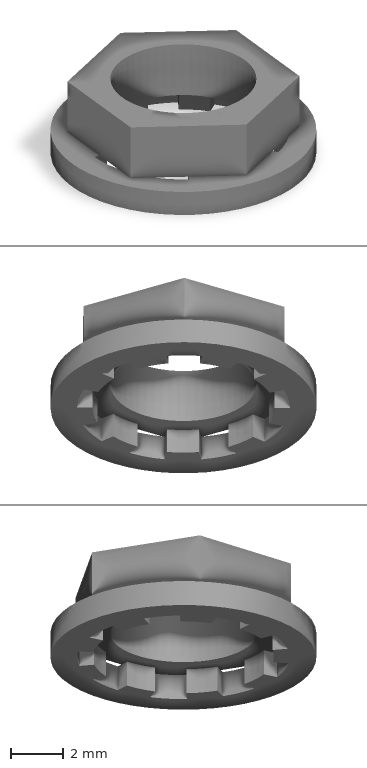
import cadquery as cq
import math

washer_diameter = 10.2
washer_thickness = 1.0
tooth_tip_diameter = 7.0
tooth_root_diameter = 8.16
tooth_count = 9
tooth_pitch_angle = 360.0 / tooth_count
gap_angle = tooth_pitch_angle / 2

total_height = 3.2
nut_height = total_height - washer_thickness
nut_across_flats = 7.71
nut_across_corners = nut_across_flats / math.cos(math.radians(30))
nut_bore_diameter = 5.6


def polar_point(radius, angle):
    """Point in the XY plane at an angle in degrees from +X."""
    return (
        radius * math.cos(math.radians(angle)),
        radius * math.sin(math.radians(angle)),
    )


def make_tooth_gap(center_angle):
    """Sector cutter that clears one gap from the tooth tips out to the root circle."""
    root_radius = tooth_root_diameter / 2
    start_angle = center_angle - gap_angle / 2
    end_angle = center_angle + gap_angle / 2
    return (
        cq.Workplane("XY")
        .lineTo(*polar_point(root_radius, start_angle))
        .threePointArc(polar_point(root_radius, center_angle), polar_point(root_radius, end_angle))
        .close()
        .extrude(washer_thickness)
    )


def make_washer():
    """Flat ring with square-sided internal teeth; one gap is centered on +X."""
    washer = (
        cq.Workplane("XY")
        .circle(washer_diameter / 2)
        .circle(tooth_tip_diameter / 2)
        .extrude(washer_thickness)
    )
    for index in range(tooth_count):
        washer = washer.cut(make_tooth_gap(index * tooth_pitch_angle))
    return washer


def make_nut():
    """Hexagonal nut with corners on the X axis and a plain through bore."""
    return (
        cq.Workplane("XY")
        .workplane(offset=washer_thickness)
        .polygon(6, nut_across_corners)
        .circle(nut_bore_diameter / 2)
        .extrude(nut_height)
    )


washer = make_washer()
nut = make_nut()

result = cq.Compound.makeCompound([washer.val(), nut.val()])